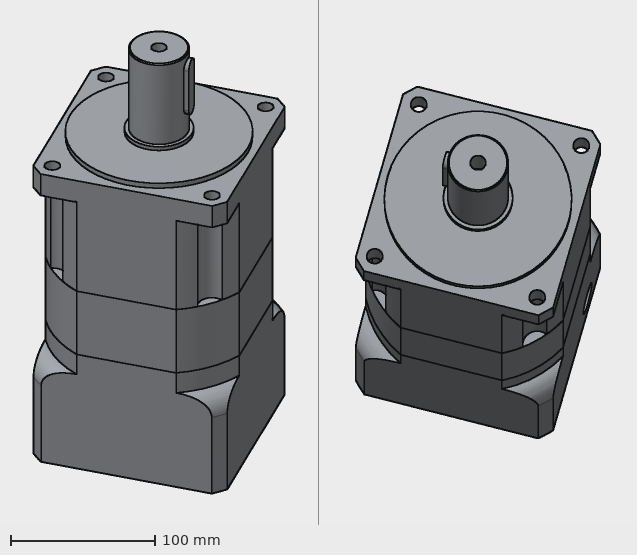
import cadquery as cq
import math

side = 142.0
total_height = 314.0

shoulder_start = 63.7
base_top = 95.0
ring_top = 148.0
flange_bottom = 222.0
flange_top = 240.0
pilot_top = 244.0
collar_top = 247.0

waist_radius = 79.8
shoulder_radius = 94.5
shoulder_fillet = shoulder_radius - waist_radius
flange_chamfer = 8.2

access_hole_diameter = 22.5
access_hole_y = -29.0
access_hole_z = 25.7
hub_radius = 37.5
recess_radius = 45.5
recess_depth = 47.0

bolt_offset = 58.5
bolt_hole_diameter = 11.0
bolt_groove_radius = 10.0

pilot_diameter = 130.0
collar_diameter = 48.0
shaft_diameter = 42.0
shaft_chamfer = 1.0
center_hole_diameter = 10.7
center_hole_depth = 25.0
drill_point_angle = 118.0

key_width = 12.0
key_length = 45.0
key_end_gap = 5.0
key_reach = 24.0


def square_block(bottom, top):
    return cq.Workplane("XY").workplane(offset=bottom).rect(side, side).extrude(top - bottom)


def cylinder(radius, bottom, top):
    return cq.Workplane("XY").workplane(offset=bottom).circle(radius).extrude(top - bottom)


def rounded_block(bottom, top):
    """Square block whose corners are rounded to the waist radius."""
    return square_block(bottom, top).intersect(cylinder(waist_radius, bottom, top))


def make_base():
    """Motor side section with rounded-over shoulders at its corners."""
    shoulder_top = shoulder_start + shoulder_fillet
    shoulders = cylinder(shoulder_radius, 0, shoulder_top).faces(">Z").edges().fillet(shoulder_fillet)
    envelope = shoulders.union(cylinder(waist_radius, 0, base_top))
    body = square_block(0, base_top).intersect(envelope)

    recess = cylinder(recess_radius, 0, recess_depth).cut(cylinder(hub_radius, 0, recess_depth))

    access_hole = (
        cq.Workplane("YZ", origin=(-side / 2, access_hole_y, access_hole_z))
        .circle(access_hole_diameter / 2)
        .extrude(side / 2)
        .cut(cylinder(hub_radius, 0, recess_depth))
    )
    return body.cut(recess).cut(access_hole)


def make_ring_gear():
    return rounded_block(base_top, ring_top)


def make_key():
    """Round-ended key, extruded from the shaft axis outwards."""
    key_center_z = total_height - key_end_gap - key_length / 2
    return (
        cq.Workplane("YZ", origin=(0, 0, key_center_z))
        .slot2D(key_length, key_width, 90)
        .extrude(key_reach)
    )


def make_shaft():
    shaft = cylinder(shaft_diameter / 2, collar_top, total_height).faces(">Z").chamfer(shaft_chamfer)
    return shaft.union(make_key())


def make_center_hole():
    """Blind hole in the shaft end with a conical drill point."""
    radius = center_hole_diameter / 2
    wall_bottom = total_height - center_hole_depth
    point_depth = radius / math.tan(math.radians(drill_point_angle / 2))
    return (
        cq.Workplane("XZ")
        .moveTo(0, total_height)
        .lineTo(radius, total_height)
        .lineTo(radius, wall_bottom)
        .lineTo(0, wall_bottom - point_depth)
        .close()
        .revolve(360, (0, 0, 0), (0, 1, 0))
    )


def make_output_housing():
    """Waist, flange, pilot and keyed output shaft in one solid."""
    bolt_pattern_size = 2 * bolt_offset
    flange = square_block(flange_bottom, flange_top).edges("|Z").chamfer(flange_chamfer)
    bolt_holes = (
        cq.Workplane("XY", origin=(0, 0, flange_bottom))
        .rect(bolt_pattern_size, bolt_pattern_size, forConstruction=True)
        .vertices()
        .circle(bolt_hole_diameter / 2)
        .extrude(flange_top - flange_bottom)
    )
    grooves = (
        cq.Workplane("XY", origin=(0, 0, ring_top))
        .rect(bolt_pattern_size, bolt_pattern_size, forConstruction=True)
        .vertices()
        .circle(bolt_groove_radius)
        .extrude(flange_bottom - ring_top)
    )
    waist = rounded_block(ring_top, flange_bottom).cut(grooves)
    pilot = cylinder(pilot_diameter / 2, flange_top, pilot_top)
    collar = cylinder(collar_diameter / 2, pilot_top, collar_top)
    return (
        waist.union(flange.cut(bolt_holes))
        .union(pilot)
        .union(collar)
        .union(make_shaft())
        .cut(make_center_hole())
    )


base = make_base()
ring_gear = make_ring_gear()
output_housing = make_output_housing()

result = cq.Compound.makeCompound([base.val(), ring_gear.val(), output_housing.val()])